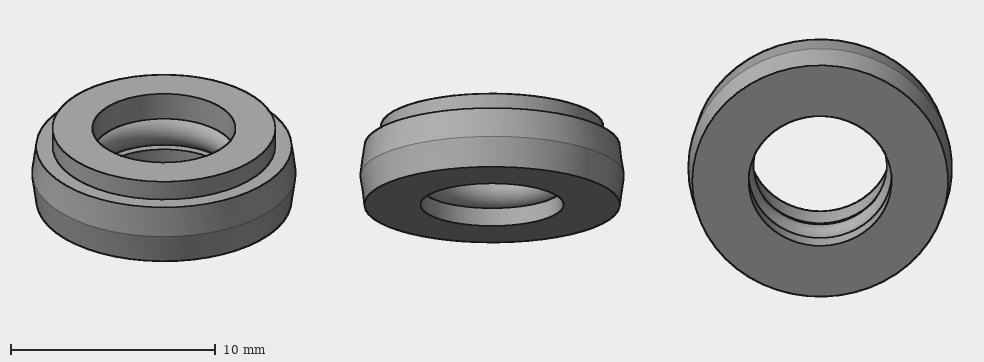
import cadquery as cq

belt_radius = 6.45
rim_end_radius = 6.25
rim_height = 3.0
boss_radius = 5.45
total_height = 4.0

bore_radius = 3.5
groove_bottom = 0.9
groove_height = 1.7

ring_inner_radius = 3.25
ring_section_radius = 0.8

belt_z = rim_height / 2
groove_mid_z = groove_bottom + groove_height / 2
ring_center_radius = ring_inner_radius + ring_section_radius
groove_radius = ring_center_radius + ring_section_radius


def make_housing():
    """Turned ring with a tapered rim, a top boss and an internal seal groove."""
    groove_top = groove_bottom + groove_height
    section = [
        (bore_radius, 0),
        (rim_end_radius, 0),
        (belt_radius, belt_z),
        (rim_end_radius, rim_height),
        (boss_radius, rim_height),
        (boss_radius, total_height),
        (bore_radius, total_height),
        (bore_radius, groove_top),
        (groove_radius, groove_top),
        (groove_radius, groove_bottom),
        (bore_radius, groove_bottom),
    ]
    return cq.Workplane("XZ").polyline(section).close().revolve(360, (0, 0), (0, 1))


def make_sealing_ring():
    """Round-section ring centred in the height of the groove."""
    return (
        cq.Workplane("XZ")
        .center(ring_center_radius, groove_mid_z)
        .circle(ring_section_radius)
        .revolve(360, (-ring_center_radius, 0), (-ring_center_radius, 1))
    )


housing = make_housing()
sealing_ring = make_sealing_ring()

result = cq.Compound.makeCompound([housing.val(), sealing_ring.val()])